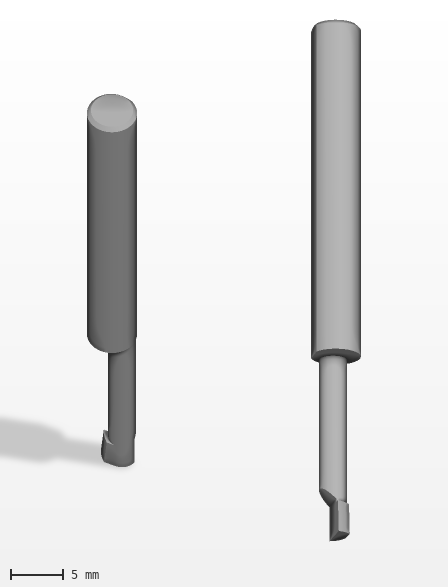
import cadquery as cq
import math

TOTAL_LENGTH = 50.8
SHANK_DIAMETER = 4.76
SHANK_LENGTH = 33.0
FLAT_HEIGHT = 2.13
END_CHAMFER = 0.38

NECK_DIAMETER = 2.64

RAKE_FACE_HEIGHT = 3.5
RAMP_ANGLE = 45.0
TOOTH_HEIGHT = 3.2
TOOTH_REACH = 1.17
TOOTH_LEAN = 5.5
END_CLEARANCE_ANGLE = 5.0
END_DISH_ANGLE = 2.0

LAND_END = (-0.60, -0.93)
LAND_BULGE = 0.04
HEEL_START_X = -0.23

shank_radius = SHANK_DIAMETER / 2
neck_radius = NECK_DIAMETER / 2
neck_x = shank_radius - neck_radius
shank_bottom = TOTAL_LENGTH - SHANK_LENGTH
margin = SHANK_DIAMETER


def make_shank():
    shank = cq.Workplane("XY").workplane(offset=shank_bottom).circle(shank_radius).extrude(SHANK_LENGTH)
    shank = shank.faces(">Z").chamfer(END_CHAMFER)
    flat_cut = cq.Workplane("XY").box(2 * margin, margin, SHANK_LENGTH, centered=(True, False, False))
    return shank.cut(flat_cut.translate((0, FLAT_HEIGHT, shank_bottom)))


def make_neck():
    return cq.Workplane("XY").center(neck_x, 0).circle(neck_radius).extrude(shank_bottom)


def make_tooth():
    """Head section swept upward, leaning toward +X so the cutting edge has back taper."""
    lean_shift = TOOTH_HEIGHT * math.tan(math.radians(TOOTH_LEAN))
    land_length = math.hypot(LAND_END[0] + TOOTH_REACH, LAND_END[1])
    bulge_point = (
        (LAND_END[0] - TOOTH_REACH) / 2 + LAND_BULGE * LAND_END[1] / land_length,
        LAND_END[1] / 2 - LAND_BULGE * (LAND_END[0] + TOOTH_REACH) / land_length,
    )

    def section(height, shift):
        return (
            cq.Workplane("XY").workplane(offset=height)
            .moveTo(shift - TOOTH_REACH, 0)
            .threePointArc((shift + bulge_point[0], bulge_point[1]), (shift + LAND_END[0], LAND_END[1]))
            .lineTo(shift + HEEL_START_X, -neck_radius)
            .lineTo(neck_x, -neck_radius)
            .lineTo(neck_x, 0)
            .close()
            .wires().val()
        )

    return cq.Workplane(cq.Solid.makeLoft([section(0, 0), section(TOOTH_HEIGHT, lean_shift)], True))


def make_rake_cut():
    """Removes the +Y half of the head up to a ramp that runs out through the neck."""
    ramp_top = RAKE_FACE_HEIGHT + margin * math.tan(math.radians(RAMP_ANGLE))
    return (
        cq.Workplane("YZ").workplane(offset=-margin)
        .polyline([(0, -margin), (margin, -margin), (margin, ramp_top), (0, RAKE_FACE_HEIGHT)])
        .close()
        .extrude(2 * margin)
    )


def make_end_cut():
    """Clearance on the end face: it rises away from the tip toward +X and -Y."""
    block = cq.Workplane("XY").box(4 * margin, 4 * margin, margin, centered=(True, True, False))
    block = block.translate((0, 0, -margin))
    block = block.rotate((0, 0, 0), (1, 0, 0), -END_CLEARANCE_ANGLE)
    block = block.rotate((0, 0, 0), (0, 1, 0), -END_DISH_ANGLE)
    return block.translate((-TOOTH_REACH, 0, 0))


head = make_neck().union(make_tooth()).cut(make_rake_cut()).cut(make_end_cut())
result = make_shank().union(head)